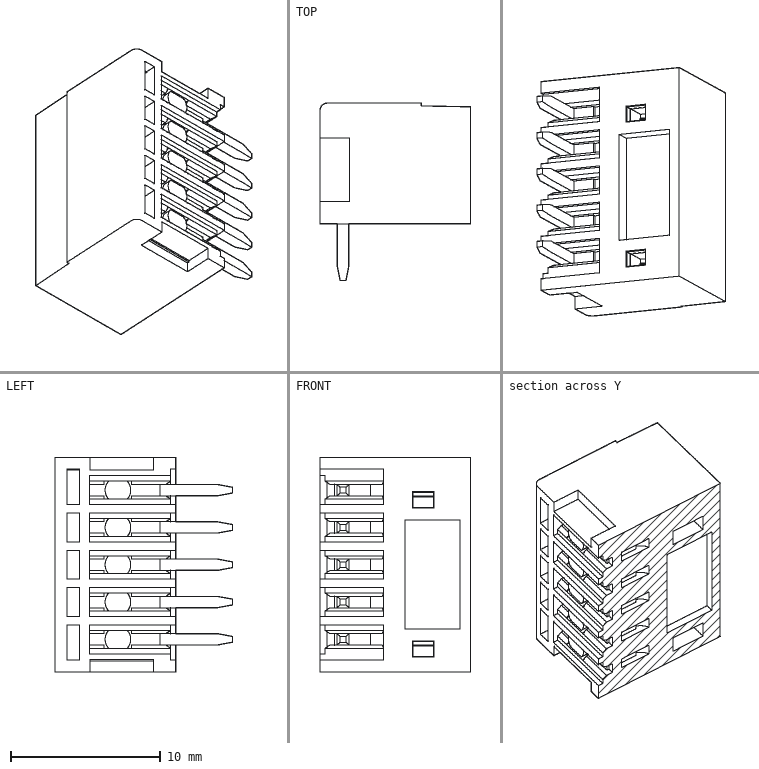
import cadquery as cq

WIDTH = 10.1
DEPTH = 8.1
HEIGHT = 14.4
BACK_FILLET = 0.5
BACK_STEP_X = 6.8
BACK_STEP_DROP = 0.19
BACK_END_DROP = 0.25

PITCH = 2.5
CONTACTS = 5
ROW_END = PITCH * (CONTACTS - 1) / 2
CONTACT_Z = [i * PITCH - ROW_END for i in range(CONTACTS)]

SLOT_TOP_Y = 5.8
SLOT_END_X = 4.27
RECESS_DEPTH = 0.355
RECESS_HALF = 0.97
MOUTH_HALF = 0.6
CORE_HALF = 0.385
FUNNEL_DEPTH = 0.305
SIDE_FLOOR_X = 0.98
BOARD_FLOOR_Y = 1.05
CONTACT_END_X = 3.4
END_ARC_RADIUS = 1.12
END_ARC_Y = 0.2
END_CELL_Z = 6.4

BOSS_Y = 3.88
BOSS_RADIUS = 0.86
BOSS_FACE_X = 0.46
BOSS_GAP = 1.85

PIN_X = 1.55
PIN_WIDTH = 0.8
PIN_LENGTH = 3.8
PIN_TIP_LENGTH = 1.0
PIN_TIP_WIDTH = 0.4

SIDE_WINDOW_Y = (6.44, 7.3)
SIDE_WINDOW_DEPTH = 1.5
CEILING_LIP = 0.06

NOTCH_Y = (1.5, 5.75)
NOTCH_DEPTH_X = 2.0
NOTCH_DEPTH_Z = 0.86
NOTCH_LIP_HEIGHT = 0.12
NOTCH_LIP_THICKNESS = 0.15

BOARD_CENTER_Z = -0.65
POCKET_X = (5.72, 9.38)
POCKET_HEIGHT = 7.3
POCKET_DEPTH = 1.2
LATCH_X = (6.2, 7.65)
LATCH_SPACING = 10.0
LATCH_HEIGHT = 1.1
LATCH_CHAMFER = 0.05
LATCH_WALL = 0.68
LATCH_CHAMBER_Y = 2.5
LATCH_FLOOR_DROP = 0.1
LATCH_CHAMBER_WIDENING = 1.0
LATCH_RIB_DROP = 0.29
LATCH_RIB_HEIGHT = 0.06


def box(x, y, z):
    """Axis-aligned box from (low, high) pairs."""
    size = [high - low for low, high in (x, y, z)]
    return cq.Workplane("XY").box(*size, centered=False).translate((x[0], y[0], z[0]))


def around(center, half):
    return (center - half, center + half)


def housing():
    outline = (
        cq.Workplane("XY")
        .moveTo(0, 0)
        .lineTo(WIDTH, 0)
        .lineTo(WIDTH, DEPTH - BACK_END_DROP)
        .lineTo(BACK_STEP_X, DEPTH - BACK_STEP_DROP)
        .lineTo(BACK_STEP_X, DEPTH)
        .lineTo(BACK_FILLET, DEPTH)
        .radiusArc((0, DEPTH - BACK_FILLET), -BACK_FILLET)
        .close()
    )
    return outline.extrude(HEIGHT / 2, both=True)


def funnel_profile(plane, z):
    """Cross-section that tapers from the mouth to the narrow core."""
    throat_depth = RECESS_DEPTH + FUNNEL_DEPTH
    return cq.Workplane(plane).polyline([
        (RECESS_DEPTH, z - MOUTH_HALF),
        (throat_depth, z - CORE_HALF),
        (throat_depth, z + CORE_HALF),
        (RECESS_DEPTH, z + MOUTH_HALF),
    ]).close()


def cell_band(z):
    """Z range of the board-side recess and side window; end cells run further outward."""
    low, high = around(z, RECESS_HALF)
    if z == -ROW_END:
        low = -END_CELL_Z
    if z == ROW_END:
        high = END_CELL_Z
    return (low, high)


def contact_slot(z):
    side_y = (0, SLOT_TOP_Y)
    board_x = (0, SLOT_END_X)
    core = around(z, CORE_HALF)
    slot = box((0, RECESS_DEPTH), side_y, around(z, RECESS_HALF))
    slot = slot.union(box(board_x, (0, RECESS_DEPTH), cell_band(z)))
    slot = slot.union(funnel_profile("XZ", z).extrude(-SLOT_TOP_Y))
    slot = slot.union(board_channel(z))
    slot = slot.union(box((0, SIDE_FLOOR_X), side_y, core))
    gap = box((0, SIDE_FLOOR_X), around(BOSS_Y, BOSS_GAP / 2), around(z, MOUTH_HALF))
    return slot.union(gap).cut(boss(z))


def board_channel(z):
    """Funnel and core along the board side, ending in an arc that runs past the contact."""
    mouth = around(z, MOUTH_HALF)
    arc_x = SLOT_END_X - END_ARC_RADIUS
    arc_bottom = END_ARC_Y + END_ARC_RADIUS
    tapered = funnel_profile("YZ", z).extrude(SLOT_END_X)
    tapered = tapered.union(box((0, SLOT_END_X), (0, arc_bottom), around(z, CORE_HALF)))
    cylinder = (
        cq.Workplane("XY", origin=(arc_x, END_ARC_Y, mouth[0]))
        .circle(END_ARC_RADIUS)
        .extrude(mouth[1] - mouth[0])
    )
    end_x = (CONTACT_END_X, SLOT_END_X)
    outline = cylinder.intersect(box(end_x, (0, arc_bottom), mouth))
    outline = outline.union(box(end_x, (0, END_ARC_Y), mouth))
    outline = outline.union(box((0, CONTACT_END_X), (0, BOARD_FLOOR_Y), mouth))
    return tapered.intersect(outline)


def boss(z):
    cylinder = (
        cq.Workplane("YZ", origin=(BOSS_FACE_X, BOSS_Y, z))
        .circle(BOSS_RADIUS)
        .extrude(SIDE_FLOOR_X - BOSS_FACE_X)
    )
    return cylinder.intersect(
        box((0, SIDE_FLOOR_X), around(BOSS_Y, BOSS_RADIUS), around(z, MOUTH_HALF))
    )


def pin(z):
    shaft_end = PIN_TIP_LENGTH - PIN_LENGTH
    thickness = 2 * CORE_HALF
    shaft = box(around(PIN_X, PIN_WIDTH / 2), (shaft_end, BOARD_FLOOR_Y), around(z, CORE_HALF))
    tip = (
        cq.Workplane("XZ", origin=(PIN_X, shaft_end, z))
        .rect(PIN_WIDTH, thickness)
        .workplane(offset=PIN_TIP_LENGTH)
        .rect(PIN_TIP_WIDTH, PIN_TIP_WIDTH)
        .loft()
    )
    return shaft.union(tip)


def side_window(z):
    low, high = cell_band(z)
    window = box((0, SIDE_WINDOW_DEPTH), SIDE_WINDOW_Y, (low, high))
    if z == ROW_END:
        lip_x = (SIDE_WINDOW_DEPTH / 2, SIDE_WINDOW_DEPTH)
        window = window.cut(box(lip_x, SIDE_WINDOW_Y, (high - CEILING_LIP, high)))
    return window


def end_notches():
    face_z = HEIGHT / 2
    notch_x = (0, NOTCH_DEPTH_X)
    top = box(notch_x, NOTCH_Y, (face_z - NOTCH_DEPTH_Z, face_z))
    bottom = box(notch_x, NOTCH_Y, (-face_z, NOTCH_DEPTH_Z - face_z))
    lip_x = (NOTCH_DEPTH_X - NOTCH_LIP_THICKNESS, NOTCH_DEPTH_X)
    lip_z = (NOTCH_DEPTH_Z - NOTCH_LIP_HEIGHT - face_z, NOTCH_DEPTH_Z - face_z)
    return top.union(bottom.cut(box(lip_x, NOTCH_Y, lip_z)))


def board_pocket():
    return box(POCKET_X, (0, POCKET_DEPTH), around(BOARD_CENTER_Z, POCKET_HEIGHT / 2))


def latch_window(z):
    """Opening with a chamfered rim that leads into a chamber with a lower floor."""
    low, high = around(z, LATCH_HEIGHT / 2)
    rim_width = LATCH_X[1] - LATCH_X[0]
    inset = 2 * LATCH_CHAMFER
    rim = (
        cq.Workplane("XZ", origin=(sum(LATCH_X) / 2, 0, z))
        .rect(rim_width, LATCH_HEIGHT)
        .workplane(offset=-LATCH_CHAMFER)
        .rect(rim_width - inset, LATCH_HEIGHT - inset)
        .loft()
    )
    opening_x = (LATCH_X[0] + LATCH_CHAMFER, LATCH_X[1] - LATCH_CHAMFER)
    opening = box(opening_x, (0, LATCH_WALL), (low + LATCH_CHAMFER, high - LATCH_CHAMFER))
    chamber_x = (LATCH_X[0], LATCH_X[1] + LATCH_CHAMBER_WIDENING)
    chamber = box(chamber_x, (LATCH_WALL, LATCH_CHAMBER_Y), (low - LATCH_FLOOR_DROP, high))
    rib_top = high - LATCH_RIB_DROP
    rib_y = (LATCH_CHAMBER_Y - LATCH_RIB_HEIGHT, LATCH_CHAMBER_Y)
    rib = box(chamber_x, rib_y, (rib_top - LATCH_RIB_HEIGHT, rib_top))
    return rim.union(opening).union(chamber.cut(rib))


body = housing().cut(end_notches()).cut(board_pocket())
for side in (-1, 1):
    body = body.cut(latch_window(BOARD_CENTER_Z + side * LATCH_SPACING / 2))
for contact_z in CONTACT_Z:
    body = body.cut(contact_slot(contact_z)).cut(side_window(contact_z))
    body = body.union(pin(contact_z))

result = body